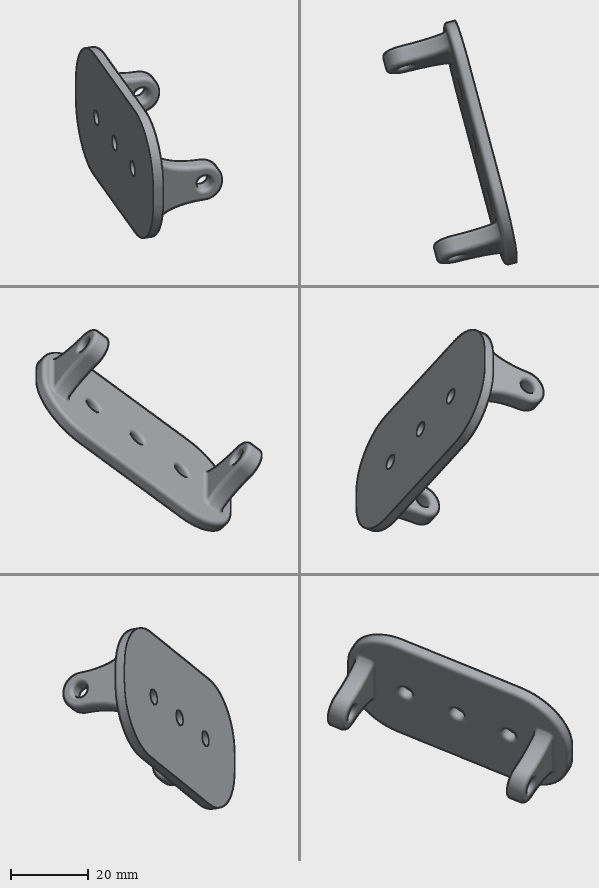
import cadquery as cq

plate_length = 64
plate_height = 35.0
plate_thickness = 3.0
plate_corner_radius = 15.0
edge_radius = 1.0

hole_diameter = 4.0
plate_hole_spacing = 15.0

overall_depth = 20.0
ear_thickness = 5.0
ear_end_radius = 5.0
ear_spacing = 52.0
ear_pair_offset = 0.5
pin_y = overall_depth - ear_end_radius

flare_depth = 12.3
flare_width = 4.35
ear_root_y = 2.7
zone_margin = 0.05
foot_half_height = ear_end_radius + flare_width


def make_plate():
    """Rounded plate with a row of holes, its back rim and back hole mouths rounded."""
    plate = (
        cq.Workplane("XZ")
        .rect(plate_length, plate_height)
        .extrude(-plate_thickness)
        .edges("|Y")
        .fillet(plate_corner_radius)
    )
    holes = (
        cq.Workplane("XZ")
        .rarray(plate_hole_spacing, 0.65, 3, 1)
        .circle(hole_diameter / 2)
        .extrude(-plate_thickness)
    )
    return plate.cut(holes).faces(">Y").edges().fillet(edge_radius)


def make_ear(center_x):
    """Flared ear with a round end, a rounded rim and a pin hole with rounded mouths."""
    side = cq.Workplane("YZ", origin=(center_x - ear_thickness / 2, 0, 0))
    foot_length = pin_y - ear_root_y
    foot = (
        side.center(ear_root_y + foot_length / 2, 0)
        .rect(foot_length, 2 * foot_half_height)
        .extrude(ear_thickness)
    )
    flank_cutters = (
        side.pushPoints([(pin_y, -foot_half_height), (pin_y, foot_half_height)])
        .ellipse(flare_depth, flare_width)
        .extrude(ear_thickness)
    )
    round_end = side.center(pin_y, 0).circle(ear_end_radius).extrude(ear_thickness)
    pin_hole = side.center(pin_y, 0).circle(hole_diameter / 2).extrude(ear_thickness)
    ear = foot.cut(flank_cutters).union(round_end).clean().cut(pin_hole)

    root_edges = cq.selectors.BoxSelector(
        (center_x - ear_thickness, ear_root_y - edge_radius, -plate_height),
        (center_x + ear_thickness, plate_thickness, plate_height),
    )
    rim = ear.faces("<X or >X").edges().edges(cq.selectors.StringSyntaxSelector("not |X") - root_edges)
    return rim.fillet(edge_radius)


def blend_ear_foot(part, center_x):
    """Fillet the foot of an ear, where it meets the back of the plate."""
    foot_zone = cq.selectors.BoxSelector(
        (center_x - ear_thickness, plate_thickness - zone_margin, -foot_half_height),
        (center_x + ear_thickness, plate_thickness + zone_margin, foot_half_height),
        boundingbox=True,
    )
    return part.edges(foot_zone).fillet(edge_radius)


result = make_plate()
for side in (-1, 1):
    ear_x = ear_pair_offset + side * ear_spacing / 2
    result = result.union(make_ear(ear_x))
    result = blend_ear_foot(result, ear_x)